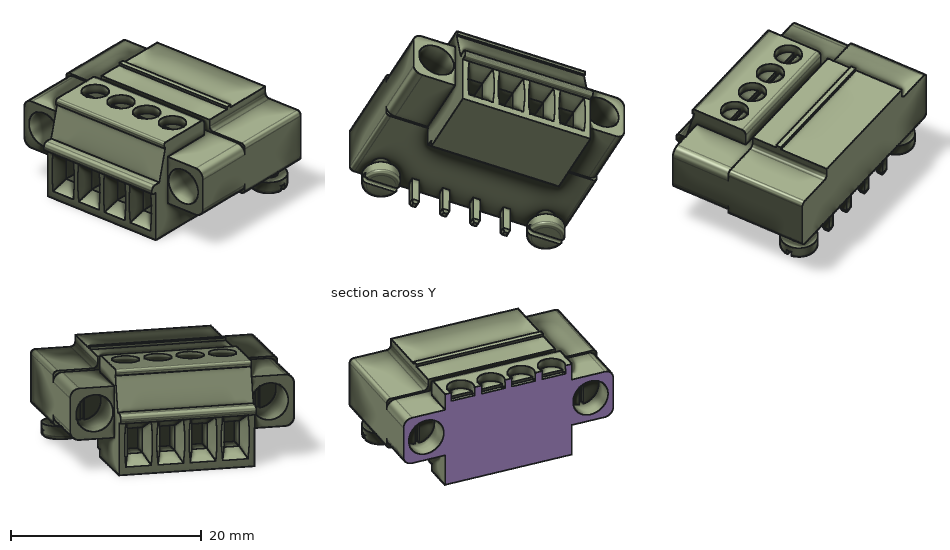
import cadquery as cq


POLE_COUNT = 4
PITCH = 3.5
BODY_WIDTH = 14.7
FLANGE_WIDTH = 24.3
FLANGE_AXIS_X = 9.5
FLANGE_AXIS_Z = 6.4

HEADER_LENGTH = 9.2
HEADER_TOP = 10.65
HEADER_WING_HEIGHT = 6.0
HEADER_RADIUS = 0.5
RIB_Y = 3.2
RIB_WIDTH = 0.6
RIB_HEIGHT = 0.28

PLUG_FLANGE_LENGTH = 6.9
PLUG_FLANGE_HEIGHT = 5.6
PLUG_FLANGE_RADIUS = 1.0
PLUG_TOP = 11.1
PLUG_BACK_Y = -0.87
PLUG_BACK_RADIUS = 0.5
PLUG_FACE_Y = -8.85
TONGUE_BOTTOM = 0.8
TONGUE_RADIUS = 0.3
BEAD_FACE_Y = -7.5
BEAD_BOTTOM = 10.46
BEAD_RADIUS = 0.3
SLOPE_TOP_Y = -7.28
SLOPE_BOTTOM_Y = -8.27
LIP_FACE_Y = -9.5
LIP_TOP = 6.7
LIP_BOTTOM = 5.68
LIP_TOP_RADIUS = 0.5
LIP_BOTTOM_RADIUS = 0.34

ENTRY_WIDTH = 2.75
ENTRY_HEIGHT = 4.8
ENTRY_BULGE = 0.15
ENTRY_CENTER_Z = 3.27
ENTRY_TAPER_DEPTH = 1.5
CAVITY_WIDTH = 1.65
CAVITY_HEIGHT = 2.75
CAVITY_DEPTH = 2.0

CLAMP_DIAMETER = 2.9
CLAMP_Y = -3.57
CLAMP_DEPTH = 1.0
FIXING_DIAMETER = 4.0
FIXING_DEPTH = 5.0
RECESS_SLOT_WIDTH = 0.45
RECESS_SLOT_DEPTH = 0.5

MOUNT_Y = 7.1
SHANK_DIAMETER = 2.0
HEAD_DIAMETER = 4.0
HEAD_TOP = 1.9
HEAD_BOTTOM = 0.4
HEAD_RADIUS = 0.45
MOUNT_SLOT_WIDTH = 0.6
MOUNT_SLOT_DEPTH = 0.8

PIN_Y = 8.0
PIN_WIDTH = 0.8
PIN_TIP_WIDTH = 0.48
PIN_TIP_HEIGHT = 0.4

HEADER_BOTTOM = FLANGE_AXIS_Z - HEADER_WING_HEIGHT / 2
HEADER_WING_TOP = FLANGE_AXIS_Z + HEADER_WING_HEIGHT / 2
PLUG_FLANGE_TOP = FLANGE_AXIS_Z + PLUG_FLANGE_HEIGHT / 2
POLE_XS = [(i - (POLE_COUNT - 1) / 2) * PITCH for i in range(POLE_COUNT)]
FLANGE_XS = [-FLANGE_AXIS_X, FLANGE_AXIS_X]


def box(width, y_min, y_max, z_min, z_max, center_x=0):
    """Block centred on center_x between the given Y and Z limits."""
    corner = (center_x - width / 2, y_min, z_min)
    return cq.Workplane("XY").box(width, y_max - y_min, z_max - z_min, centered=False).translate(corner)


def make_header():
    """Winged housing with a raised middle and a thin rib across its top."""
    wings = box(FLANGE_WIDTH, 0, HEADER_LENGTH, HEADER_BOTTOM, HEADER_WING_TOP)
    wings = wings.edges("|Y").fillet(HEADER_RADIUS)
    middle = box(BODY_WIDTH, 0, HEADER_LENGTH, FLANGE_AXIS_Z, HEADER_TOP)
    header = wings.union(middle)
    corner_half = BODY_WIDTH / 2 + HEADER_RADIUS / 2
    inner_corners = cq.selectors.BoxSelector(
        (-corner_half, 0, HEADER_WING_TOP - HEADER_RADIUS / 2),
        (corner_half, HEADER_LENGTH, HEADER_WING_TOP + HEADER_RADIUS / 2),
    )
    header = header.edges("|Y").edges(inner_corners).fillet(HEADER_RADIUS)
    rib_y_min = RIB_Y - RIB_WIDTH / 2
    rib = box(BODY_WIDTH, rib_y_min, rib_y_min + RIB_WIDTH, FLANGE_AXIS_Z, HEADER_TOP + RIB_HEIGHT)
    return header.union(rib)


def make_plug_body():
    """Side profile of the terminal housing swept across the body width."""
    profile = (
        cq.Workplane("YZ")
        .moveTo(0, PLUG_FLANGE_TOP)
        .lineTo(PLUG_BACK_Y, PLUG_FLANGE_TOP)
        .lineTo(PLUG_BACK_Y, PLUG_TOP - PLUG_BACK_RADIUS)
        .radiusArc((PLUG_BACK_Y - PLUG_BACK_RADIUS, PLUG_TOP), -PLUG_BACK_RADIUS)
        .lineTo(BEAD_FACE_Y + BEAD_RADIUS, PLUG_TOP)
        .radiusArc((BEAD_FACE_Y, PLUG_TOP - BEAD_RADIUS), -BEAD_RADIUS)
        .lineTo(BEAD_FACE_Y, BEAD_BOTTOM)
        .lineTo(SLOPE_TOP_Y, BEAD_BOTTOM)
        .lineTo(SLOPE_BOTTOM_Y, LIP_TOP)
        .lineTo(LIP_FACE_Y + LIP_TOP_RADIUS, LIP_TOP)
        .radiusArc((LIP_FACE_Y, LIP_TOP - LIP_TOP_RADIUS), -LIP_TOP_RADIUS)
        .lineTo(LIP_FACE_Y, LIP_BOTTOM + LIP_BOTTOM_RADIUS)
        .radiusArc((LIP_FACE_Y + LIP_BOTTOM_RADIUS, LIP_BOTTOM), -LIP_BOTTOM_RADIUS)
        .lineTo(PLUG_FACE_Y, LIP_BOTTOM)
        .lineTo(PLUG_FACE_Y, 0)
        .lineTo(PLUG_BACK_Y, 0)
        .lineTo(PLUG_BACK_Y, TONGUE_BOTTOM)
        .lineTo(-TONGUE_RADIUS, TONGUE_BOTTOM)
        .radiusArc((0, TONGUE_BOTTOM + TONGUE_RADIUS), -TONGUE_RADIUS)
        .close()
    )
    return profile.extrude(BODY_WIDTH / 2, both=True)


def make_plug_flange():
    """Rounded flange block reaching past both ends of the plug body."""
    flange = box(
        FLANGE_WIDTH,
        -PLUG_FLANGE_LENGTH,
        0,
        FLANGE_AXIS_Z - PLUG_FLANGE_HEIGHT / 2,
        PLUG_FLANGE_TOP,
    )
    return flange.edges("|Y").fillet(PLUG_FLANGE_RADIUS)


def wire_entry(x):
    """Tapered funnel with bowed sides at the mouth, leading into a straight cavity."""
    half_width = ENTRY_WIDTH / 2
    half_height = ENTRY_HEIGHT / 2
    bowed_half = half_width + ENTRY_BULGE
    funnel = (
        cq.Workplane("XZ", origin=(x, PLUG_FACE_Y, ENTRY_CENTER_Z))
        .moveTo(-half_width, -half_height)
        .lineTo(half_width, -half_height)
        .threePointArc((bowed_half, 0), (half_width, half_height))
        .lineTo(-half_width, half_height)
        .threePointArc((-bowed_half, 0), (-half_width, -half_height))
        .close()
        .workplane(offset=-ENTRY_TAPER_DEPTH)
        .moveTo(-CAVITY_WIDTH / 2, -CAVITY_HEIGHT / 2)
        .lineTo(CAVITY_WIDTH / 2, -CAVITY_HEIGHT / 2)
        .lineTo(CAVITY_WIDTH / 2, CAVITY_HEIGHT / 2)
        .lineTo(-CAVITY_WIDTH / 2, CAVITY_HEIGHT / 2)
        .close()
        .loft(ruled=True)
    )
    cavity_mouth_y = PLUG_FACE_Y + ENTRY_TAPER_DEPTH
    cavity = box(
        CAVITY_WIDTH,
        cavity_mouth_y,
        cavity_mouth_y + CAVITY_DEPTH,
        ENTRY_CENTER_Z - CAVITY_HEIGHT / 2,
        ENTRY_CENTER_Z + CAVITY_HEIGHT / 2,
        x,
    )
    return funnel.union(cavity)


def screw_recess(mouth, diameter, depth, slot_along_x):
    """Round recess sunk from the mouth plane, with a screwdriver slot in its floor."""
    slot_size = (diameter, RECESS_SLOT_WIDTH) if slot_along_x else (RECESS_SLOT_WIDTH, diameter)
    recess = mouth.circle(diameter / 2).extrude(-depth)
    slot_depth = depth + RECESS_SLOT_DEPTH
    envelope = mouth.circle(diameter / 2).extrude(-slot_depth)
    slot = mouth.rect(*slot_size).extrude(-slot_depth).intersect(envelope)
    return recess.union(slot)


def clamp_recess(x):
    """Recess over one clamping screw, opening upward."""
    mouth = cq.Workplane("XY", origin=(x, CLAMP_Y, PLUG_TOP))
    return screw_recess(mouth, CLAMP_DIAMETER, CLAMP_DEPTH, True)


def fixing_recess(x):
    """Recess over one flange fixing screw, opening toward the wire side."""
    mouth = cq.Workplane("XZ", origin=(x, -PLUG_FLANGE_LENGTH, FLANGE_AXIS_Z))
    return screw_recess(mouth, FIXING_DIAMETER, FIXING_DEPTH, False)


def mounting_screw(x):
    """Slotted cheese-head screw hanging below a header wing."""
    base = cq.Workplane("XY", origin=(x, MOUNT_Y, HEAD_BOTTOM))
    head = base.circle(HEAD_DIAMETER / 2).extrude(HEAD_TOP - HEAD_BOTTOM)
    head = head.faces("<Z").edges().fillet(HEAD_RADIUS)
    slot = base.rect(HEAD_DIAMETER, MOUNT_SLOT_WIDTH).extrude(MOUNT_SLOT_DEPTH)
    shank = (
        cq.Workplane("XY", origin=(x, MOUNT_Y, HEAD_TOP))
        .circle(SHANK_DIAMETER / 2)
        .extrude(FLANGE_AXIS_Z - HEAD_TOP)
    )
    return head.cut(slot).union(shank)


def solder_pin(x):
    """Square pin with a tapered tip ending level with the plug underside."""
    tip = (
        cq.Workplane("XY", origin=(x, PIN_Y, 0))
        .rect(PIN_TIP_WIDTH, PIN_TIP_WIDTH)
        .workplane(offset=PIN_TIP_HEIGHT)
        .rect(PIN_WIDTH, PIN_WIDTH)
        .loft(ruled=True)
    )
    half_width = PIN_WIDTH / 2
    shaft = box(PIN_WIDTH, PIN_Y - half_width, PIN_Y + half_width, PIN_TIP_HEIGHT, FLANGE_AXIS_Z, x)
    return tip.union(shaft)


result = make_plug_flange().union(make_plug_body()).union(make_header())

for flange_x in FLANGE_XS:
    result = result.cut(fixing_recess(flange_x))
    result = result.union(mounting_screw(flange_x))

for pole_x in POLE_XS:
    result = result.cut(wire_entry(pole_x))
    result = result.cut(clamp_recess(pole_x))
    result = result.union(solder_pin(pole_x))